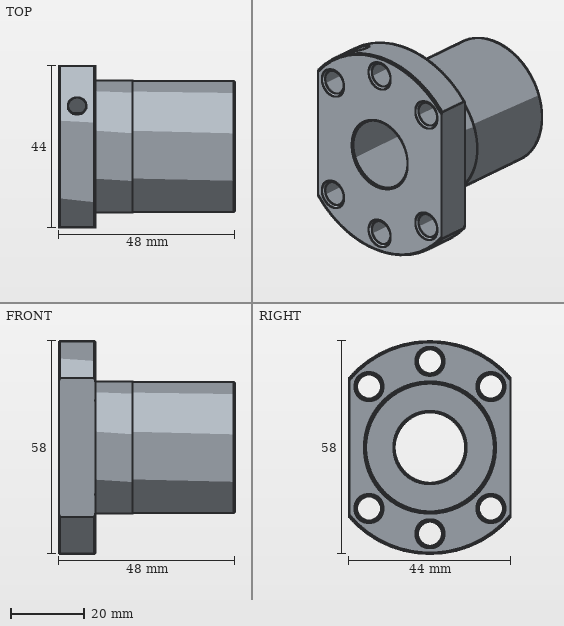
import cadquery as cq
import math

flange_diameter = 58.0
flange_width = 44.0
flange_thickness = 10.0
flange_chamfer = 0.35

total_length = 48.0
shoulder_end = 20.0
shoulder_diameter = 36.0
body_diameter = 35.8
body_chamfer = 0.45

bore_diameter = 19.25
bore_chamfer = 0.35

bolt_circle_radius = 23.5
bolt_hole_diameter = 6.6
bolt_chamfer = 0.65
bolt_angles = [45, 90, 135, 225, 270, 315]

oil_hole_diameter = 5.0
oil_hole_tilt = 22.5
oil_hole_floor_radius = 18.0
drill_point_angle = 118.0


def cylinder(diameter, start, end):
    """Cylinder along X between two stations."""
    return cq.Workplane("YZ", origin=(start, 0, 0)).circle(diameter / 2).extrude(end - start)


def make_flange():
    disc = cylinder(flange_diameter, 0, flange_thickness).edges().chamfer(flange_chamfer)
    between_flats = cq.Workplane("XY").box(2 * flange_thickness, flange_width, flange_diameter)
    return disc.intersect(between_flats)


def make_body():
    shoulder = cylinder(shoulder_diameter, 0, shoulder_end)
    barrel = cylinder(body_diameter, 0, total_length).faces(">X").edges().chamfer(body_chamfer)
    return shoulder.union(barrel)


def chamfered_hole(diameter, length, chamfer):
    """Cutter along X from X = 0, widened by a chamfer at both ends."""
    radius = diameter / 2
    profile = [
        (0, 0),
        (0, radius + chamfer),
        (chamfer, radius),
        (length - chamfer, radius),
        (length, radius + chamfer),
        (length, 0),
    ]
    return cq.Workplane("XY").polyline(profile).close().revolve(360, (0, 0, 0), (1, 0, 0))


def make_oil_hole():
    """Drill-shaped cutter, first built along Z and then tilted about the X axis."""
    radius = oil_hole_diameter / 2
    point_depth = radius / math.tan(math.radians(drill_point_angle / 2))
    profile = [
        (0, oil_hole_floor_radius - point_depth),
        (radius, oil_hole_floor_radius),
        (radius, flange_diameter / 2),
        (0, flange_diameter / 2),
    ]
    drill = cq.Workplane("XZ").polyline(profile).close().revolve(360, (0, 0, 0), (0, 1, 0))
    drill = drill.rotate((0, 0, 0), (1, 0, 0), -oil_hole_tilt)
    return drill.translate((flange_thickness / 2, 0, 0))


result = make_flange().union(make_body())
result = result.cut(chamfered_hole(bore_diameter, total_length, bore_chamfer))
for angle in bolt_angles:
    hole_y = bolt_circle_radius * math.cos(math.radians(angle))
    hole_z = bolt_circle_radius * math.sin(math.radians(angle))
    bolt_hole = chamfered_hole(bolt_hole_diameter, flange_thickness, bolt_chamfer)
    result = result.cut(bolt_hole.translate((0, hole_y, hole_z)))
result = result.cut(make_oil_hole())